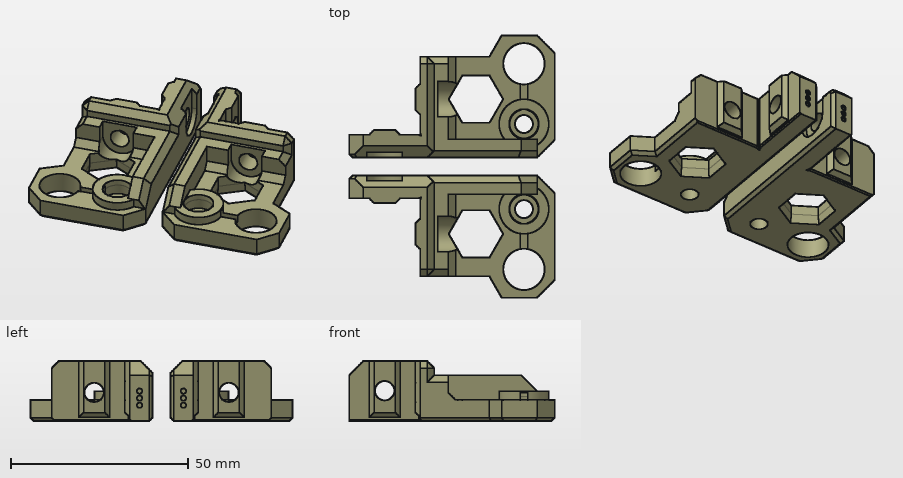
import cadquery as cq
import math


half_gap = 2.5
length = 58.0
depth = 34.515
plate_height = 6.0
rim_chamfer = 1.0
seat_chamfer = 0.4

tall_height = 17.0
arm_width = 6.5
arm_end_chamfer = 4.0
arm_inner_chamfer = 3.4
wall_x = 20.0
wall_tall_end = 24.0
wall_depth = 28.5
edge_chamfer = 2.0
relief_width = 0.45
relief_depth = 0.25

corner_relief = [
    (wall_x, arm_width + relief_width),
    (wall_x + relief_depth, arm_width - relief_depth),
    (wall_x - relief_width, arm_width),
]

step_height = 13.0
step_end = 28.0
foot_size = 2.0
rail_width = 5.25
rail_slope_start = 48.5
rail_end = 53.0

plate_corner = 5.0
ear_start = 43.0
ear_rise = depth - wall_depth
ear_run = ear_rise / math.tan(math.radians(60))

rib_height = 1.35
rib_top_width = 6.0
rib_base_width = rib_top_width + 2 * rib_height
rib_bottom = 1.1
screw_diameter = 5.4
head_diameter = 10.0
arm_screw_x = 10.0
arm_screw_z = 8.6
arm_head_depth = 1.5
wall_screw_y = 16.5
wall_screw_z = 8.1
wall_head_x = 25.0

hex_x = 35.75
hex_across_corners = 15.3
hex_flare_height = 3.0
hex_flare = 0.3

hole_x = 49.3
round_hole_diameter = 11.6
round_hole_y = 26.5
boss_diameter = 14.0
boss_y = 9.5
boss_top = 8.5
bore_floor = 4.0
bore_cone_start = 7.0
bore_diameter = 8.1
bore_mouth_diameter = 8.4
through_diameter = 5.0
channel_width = 2.0
channel_top = 8.0

dot_diameter = 1.5
dot_depth = 0.5
dot_y = 3.7
dot_heights = (4.5, 6.5, 8.5)


def prism_z(points, bottom, top):
    return cq.Workplane("XY", origin=(0, 0, bottom)).polyline(points).close().extrude(top - bottom)


def prism_y(points, start, end):
    """Extrude an (x, z) outline along Y."""
    return cq.Workplane("XZ", origin=(0, start, 0)).polyline(points).close().extrude(start - end)


def prism_x(points, start, end):
    """Extrude a (y, z) outline along X."""
    return cq.Workplane("YZ", origin=(start, 0, 0)).polyline(points).close().extrude(end - start)


def cylinder_z(diameter, x, y, bottom, top):
    return cq.Workplane("XY", origin=(x, y, bottom)).circle(diameter / 2).extrude(top - bottom)


def make_plate():
    outline = [
        (rim_chamfer, 0),
        (length - plate_corner, 0),
        (length, plate_corner),
        (length, depth - plate_corner),
        (length - plate_corner, depth),
        (ear_start, depth),
        (ear_start - ear_run, wall_depth),
        (wall_x, wall_depth),
        *corner_relief,
        (0, arm_width),
        (0, rim_chamfer),
    ]
    plate = prism_z(outline, 0, plate_height)

    def is_seat(edge):
        center = edge.Center()
        beside_wall = center.x < wall_x + relief_depth
        outside_arm = arm_width - relief_depth < center.y < wall_depth
        return beside_wall and outside_arm

    def is_arm_end(edge):
        return edge.Center().x < rim_chamfer

    bottom_edges = plate.faces("<Z").edges().vals()
    rim_edges = [e for e in bottom_edges if not is_seat(e) and not is_arm_end(e)]
    plate = plate.newObject(rim_edges).chamfer(rim_chamfer)
    seat_edges = [e for e in plate.faces("<Z").edges().vals() if is_seat(e)]
    return plate.newObject(seat_edges).chamfer(seat_chamfer)


def make_tall_l():
    """Arm and wall: the common volume of a chamfered block, a plan outline and two side profiles."""
    block = cq.Workplane("XY", origin=(0, 0, plate_height)).box(
        wall_tall_end, wall_depth, tall_height - plate_height, centered=False
    )
    back_edges = block.faces(">X").edges("not <Z").vals()
    outer_top_edge = block.faces(">Y").edges(">Z").vals()
    block = block.newObject(back_edges + outer_top_edge).chamfer(edge_chamfer)

    plan = prism_z(
        [
            (0, 0),
            (wall_tall_end, 0),
            (wall_tall_end, wall_depth),
            (wall_x, wall_depth),
            *corner_relief,
            (0, arm_width),
        ],
        plate_height,
        tall_height,
    )
    length_profile = prism_y(
        [
            (0, 0),
            (wall_tall_end, 0),
            (wall_tall_end, tall_height),
            (arm_end_chamfer, tall_height),
            (0, tall_height - arm_end_chamfer),
        ],
        0,
        wall_depth,
    )
    inner_edges = length_profile.faces("<Y").edges().vals()
    arm_end_edges = [e for e in inner_edges if e.Center().x < arm_end_chamfer]
    length_profile = length_profile.newObject(arm_end_edges).chamfer(rim_chamfer)

    depth_profile = prism_x(
        [
            (0, 0),
            (wall_depth, 0),
            (wall_depth, tall_height),
            (arm_inner_chamfer, tall_height),
            (0, tall_height - arm_inner_chamfer),
        ],
        0,
        wall_tall_end,
    )
    return block.intersect(plan).intersect(length_profile).intersect(depth_profile)


def make_step():
    block = prism_x(
        [
            (0, plate_height),
            (wall_depth, plate_height),
            (wall_depth, step_height - edge_chamfer),
            (wall_depth - edge_chamfer, step_height),
            (edge_chamfer, step_height),
            (0, step_height - edge_chamfer),
        ],
        wall_tall_end - edge_chamfer,
        step_end,
    )
    foot = prism_y(
        [
            (step_end, plate_height),
            (step_end + foot_size, plate_height),
            (step_end, plate_height + foot_size),
        ],
        rail_width,
        wall_depth,
    )
    return block.union(foot)


def make_rail():
    slope_drop = rail_end - rail_slope_start
    rail = prism_y(
        [
            (wall_tall_end, plate_height),
            (rail_end, plate_height),
            (rail_end, step_height - slope_drop),
            (rail_slope_start, step_height),
            (wall_tall_end, step_height),
        ],
        0,
        rail_width,
    )
    inner_edges = rail.faces("<Y").edges().vals()
    upper_edges = [e for e in inner_edges if e.Center().z > step_height - slope_drop]
    return rail.newObject(upper_edges).chamfer(edge_chamfer)


def make_rib():
    """Upright rib on a seat at Y = 0, centred on X = 0 and pointing to +Y."""
    plan = prism_z(
        [
            (-rib_base_width / 2, 0),
            (rib_base_width / 2, 0),
            (rib_top_width / 2, rib_height),
            (-rib_top_width / 2, rib_height),
        ],
        rib_bottom,
        tall_height,
    )
    side = prism_x(
        [
            (0, rib_bottom),
            (rib_height, rib_bottom + rib_height),
            (rib_height, tall_height),
            (0, tall_height),
        ],
        -rib_base_width / 2,
        rib_base_width / 2,
    )
    return plan.intersect(side)


def make_head_slot(slot_depth):
    """Screw-head recess along +Y, centred on the origin and open upwards."""
    bore = cq.Workplane("XZ").circle(head_diameter / 2).extrude(-slot_depth)
    opening = cq.Workplane("XY").box(
        head_diameter, slot_depth, tall_height, centered=(True, False, False)
    )
    return bore.union(opening)


def make_screw_hole(hole_length):
    """Screw clearance hole along +Y from the origin."""
    return cq.Workplane("XZ").circle(screw_diameter / 2).extrude(-hole_length)


def make_hex_cutter():
    apothem = hex_across_corners / 2 * math.cos(math.radians(30))
    flared_corners = hex_across_corners * (apothem + hex_flare) / apothem
    straight = (
        cq.Workplane("XY", origin=(hex_x, wall_screw_y, hex_flare_height))
        .polygon(6, hex_across_corners)
        .extrude(step_height - hex_flare_height)
    )
    flare = (
        cq.Workplane("XY", origin=(hex_x, wall_screw_y, 0))
        .polygon(6, flared_corners)
        .workplane(offset=hex_flare_height)
        .polygon(6, hex_across_corners)
        .loft(ruled=True)
    )
    return straight.union(flare)


def make_boss_bore():
    """Through hole and counterbore of the boss; the bore widens towards its mouth."""
    profile = [
        (0, 0),
        (through_diameter / 2, 0),
        (through_diameter / 2, bore_floor),
        (bore_diameter / 2, bore_floor),
        (bore_diameter / 2, bore_cone_start),
        (bore_mouth_diameter / 2, boss_top),
        (0, boss_top),
    ]
    bore = cq.Workplane("XZ").polyline(profile).close().revolve(360, (0, 0, 0), (0, 1, 0))
    return bore.translate((hole_x, boss_y, 0))


def make_channel():
    return cq.Workplane("XY", origin=(hole_x, boss_y, bore_floor)).box(
        channel_width,
        round_hole_y - boss_y,
        channel_top - bore_floor,
        centered=(True, False, False),
    )


def make_dots():
    return (
        cq.Workplane("YZ")
        .pushPoints([(dot_y, z) for z in dot_heights])
        .circle(dot_diameter / 2)
        .extrude(dot_depth)
    )


def make_bracket():
    body = make_plate()
    body = body.union(cylinder_z(boss_diameter, hole_x, boss_y, plate_height, boss_top))
    body = body.cut(make_boss_bore())
    body = body.cut(make_channel())
    body = body.cut(cylinder_z(round_hole_diameter, hole_x, round_hole_y, 0, plate_height))

    for upright in (make_tall_l(), make_step(), make_rail()):
        body = body.union(upright)
    rib = make_rib()
    body = body.union(rib.translate((arm_screw_x, arm_width, 0)))
    wall_rib = rib.rotate((0, 0, 0), (0, 0, 1), 90)
    body = body.union(wall_rib.translate((wall_x, wall_screw_y, 0)))

    arm_screw = make_head_slot(arm_head_depth).union(make_screw_hole(arm_width + rib_height))
    body = body.cut(arm_screw.translate((arm_screw_x, 0, arm_screw_z)))

    wall_slot = make_head_slot(hex_x - wall_head_x)
    wall_hole = make_screw_hole(hex_x - wall_x + rib_height)
    wall_slot = wall_slot.rotate((0, 0, 0), (0, 0, 1), 90)
    wall_hole = wall_hole.rotate((0, 0, 0), (0, 0, 1), 90)
    for cutter in (wall_slot, wall_hole):
        body = body.cut(cutter.translate((hex_x, wall_screw_y, wall_screw_z)))

    body = body.cut(make_hex_cutter())
    body = body.cut(make_dots())
    return body.translate((0, half_gap, 0))


rear_bracket = make_bracket()
front_bracket = rear_bracket.mirror("XZ")

result = cq.Compound.makeCompound([front_bracket.val(), rear_bracket.val()])